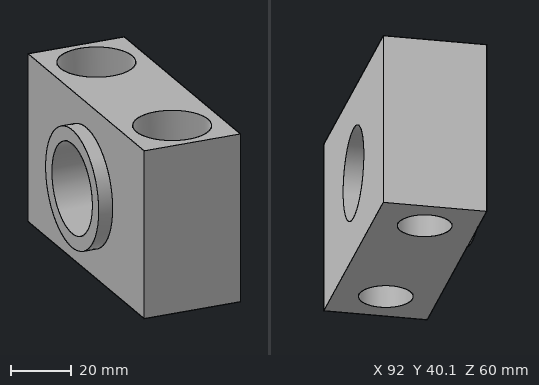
import cadquery as cq

length = 92.0
height = 60.0
body_depth = 35.0

boss_diameter = 42.0
boss_projection = 5.1
bore_diameter = 32.0

hole_spacing = 60.0
hole_diameter = 18.0
counterbore_diameter = 26.0
counterbore_depth = 17.0


def make_body():
    """Block centred on the origin with a round boss on its -Y face."""
    block = cq.Workplane("XY").box(length, body_depth, height)
    boss = (
        cq.Workplane("XZ", origin=(0, -body_depth / 2, 0))
        .circle(boss_diameter / 2)
        .extrude(boss_projection)
    )
    return block.union(boss)


def cut_bore(body):
    """Bore straight through the boss and the block along Y."""
    return body.faces("<Y").workplane(centerOption="CenterOfBoundBox").hole(bore_diameter)


def cut_counterbored_holes(body):
    """Two vertical through holes, counterbored from the top face."""
    return (
        body.faces(">Z")
        .workplane(origin=(0, 0, height / 2))
        .rarray(hole_spacing, 0.9, 2, 1)
        .cboreHole(hole_diameter, counterbore_diameter, counterbore_depth)
    )


result = cut_counterbored_holes(cut_bore(make_body()))